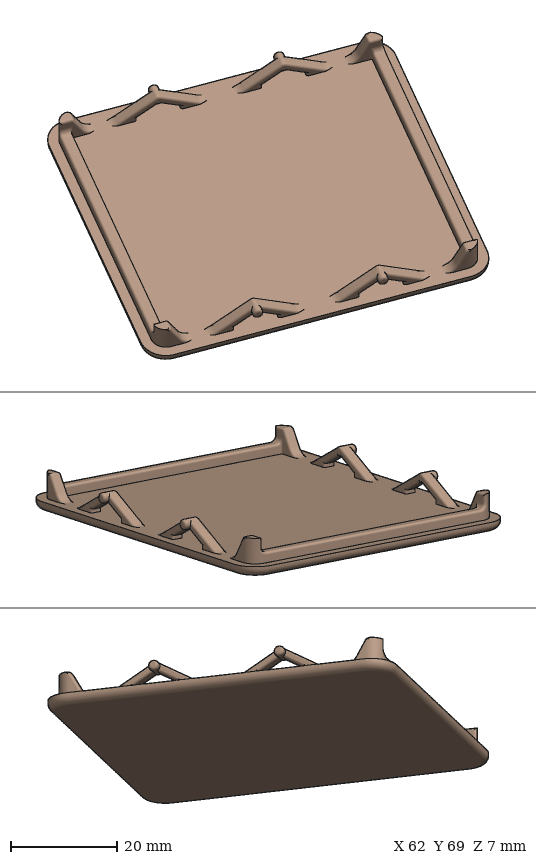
import cadquery as cq
import math

plate_x = 62.0
plate_y = 69.0
plate_t = 2.0
plate_corner_r = 5.0
plate_bottom_r = 1.5

inset = 2.1
rib_w = 2.5
edge_r = 0.52
rib_h = 5.0
foot_r = 3.0
sink = 1.25
rib_base = plate_t - sink
rib_top = plate_t + rib_h

post_corner_r = 3.0
inner_corner_r = 0.3
post_y = 3.0
leg_angle = math.radians(60)
lip_h = 2.0
lip_blend_r = 1.1
outer_x = plate_x / 2 - inset
outer_y = plate_y / 2 - inset

truss_y = 12.5
truss_angle = math.radians(30)
truss_bar = 1.6
truss_gap = 4.4
pin_d = 2.0
pin_r = pin_d / 2
pin_reach = 1.2
pin_z = rib_top - pin_r


def nearest(x, y, z):
    """Selector for the edge whose middle is nearest to the point."""
    return cq.selectors.NearestToPointSelector((x, y, z))


def make_plate():
    plate = cq.Workplane("XY").rect(plate_x, plate_y).extrude(plate_t)
    plate = plate.edges("|Z").fillet(plate_corner_r)
    return plate.faces("<Z").edges().fillet(plate_bottom_r)


def foot_points(base, angle):
    """Start, middle and end of the foot arc, for a slope that would meet the plate at `base`."""
    tangent = foot_r * math.tan(angle / 2)
    end = base + tangent
    start = (base - tangent * math.cos(angle), plate_t + tangent * math.sin(angle))
    middle = (end - foot_r * math.sin(angle / 2), plate_t + foot_r * (1 - math.cos(angle / 2)))
    return start, middle, (end, plate_t)


def make_corner():
    """Post with sloping leg and half of a lip, at the -X -Y corner, outer corner at the origin."""
    leg_start, leg_middle, leg_end = foot_points(post_y + rib_h / math.tan(leg_angle), leg_angle)
    foot_end = leg_end[0]
    plan = (
        cq.Workplane("XY", origin=(0, 0, rib_base))
        .lineTo(outer_x, 0)
        .lineTo(outer_x, rib_w)
        .lineTo(rib_w, rib_w)
        .lineTo(rib_w, foot_end)
        .lineTo(0, foot_end)
        .close()
        .extrude(rib_top - rib_base)
    )
    plan = plan.edges(nearest(0, 0, plate_t)).fillet(post_corner_r)
    leg = (
        cq.Workplane("YZ")
        .moveTo(0, rib_base)
        .lineTo(0, rib_top)
        .lineTo(post_y, rib_top)
        .lineTo(*leg_start)
        .threePointArc(leg_middle, leg_end)
        .lineTo(foot_end, rib_base)
        .close()
        .extrude(outer_x)
    )
    lip_top = plate_t + lip_h
    blend = lip_blend_r * (1 - math.sqrt(0.5))
    lip = (
        cq.Workplane("XZ")
        .moveTo(0, rib_base)
        .lineTo(0, rib_top)
        .lineTo(rib_w, rib_top)
        .lineTo(rib_w, lip_top + lip_blend_r)
        .threePointArc((rib_w + blend, lip_top + blend), (rib_w + lip_blend_r, lip_top))
        .lineTo(outer_x, lip_top)
        .lineTo(outer_x, rib_base)
        .close()
        .extrude(-foot_end)
    )
    corner = plan.intersect(leg).intersect(lip)
    corner = corner.edges(nearest(rib_w, rib_w, plate_t)).fillet(inner_corner_r)

    lip_middle = (rib_w + outer_x) / 2
    slope_y = (post_y + leg_start[0]) / 2
    slope_z = (rib_top + leg_start[1]) / 2
    rounded = (
        nearest(lip_middle, 0, lip_top)
        + nearest(lip_middle, rib_w, lip_top)
        + nearest(rib_w, post_y / 2, rib_top)
        + nearest(rib_w / 2, post_y, rib_top)
        + nearest(0, slope_y, slope_z)
        + nearest(rib_w, slope_y, slope_z)
    )
    corner = corner.edges(rounded).fillet(edge_r)
    return corner.translate((-outer_x, -outer_y, 0))


def flipped(point):
    """Mirror image of a truss profile point about the peak."""
    return (-point[0], point[1])


def make_truss():
    """Truss on the -X side, peak at Y = 0, with its snap pin."""
    slope = math.tan(truss_angle)
    apex_z = pin_z + pin_r / math.cos(truss_angle)
    gap_apex_z = apex_z - truss_bar / math.cos(truss_angle)
    gap_side_z = gap_apex_z - truss_gap * slope
    foot_start, foot_middle, foot_end = foot_points((apex_z - plate_t) / slope, truss_angle)
    crown = (pin_r * math.sin(truss_angle), pin_z + pin_r * math.cos(truss_angle))

    truss = (
        cq.Workplane("YZ", origin=(-outer_x, 0, 0))
        .moveTo(foot_end[0], rib_base)
        .lineTo(*foot_end)
        .threePointArc(foot_middle, foot_start)
        .lineTo(*crown)
        .threePointArc((0, rib_top), flipped(crown))
        .lineTo(*flipped(foot_start))
        .threePointArc(flipped(foot_middle), flipped(foot_end))
        .lineTo(-foot_end[0], rib_base)
        .lineTo(-truss_gap, rib_base)
        .lineTo(-truss_gap, gap_side_z)
        .lineTo(0, gap_apex_z)
        .lineTo(truss_gap, gap_side_z)
        .lineTo(truss_gap, rib_base)
        .close()
        .extrude(rib_w)
    )
    margin = edge_r / 2
    rounded_zone = cq.selectors.BoxSelector(
        (-outer_x - margin, -foot_end[0] + margin, rib_base + margin),
        (-outer_x + rib_w + margin, foot_end[0] - margin, rib_top + margin),
    )
    truss = truss.faces("<X or >X").edges(rounded_zone).fillet(edge_r)

    pin = (
        cq.Workplane("YZ", origin=(-outer_x - pin_reach, 0, pin_z))
        .circle(pin_r)
        .extrude(pin_reach + rib_w)
        .faces("<X or >X")
        .edges()
        .fillet(edge_r)
    )
    return truss.union(pin)


def make_quarter():
    """Everything standing on the -X -Y quarter of the plate."""
    return make_corner().union(make_truss().translate((0, -truss_y, 0)))


def make_part():
    quarter = make_quarter()
    half = quarter.union(quarter.mirror("XZ"))
    return make_plate().union(half).union(half.mirror("YZ"))


result = make_part()